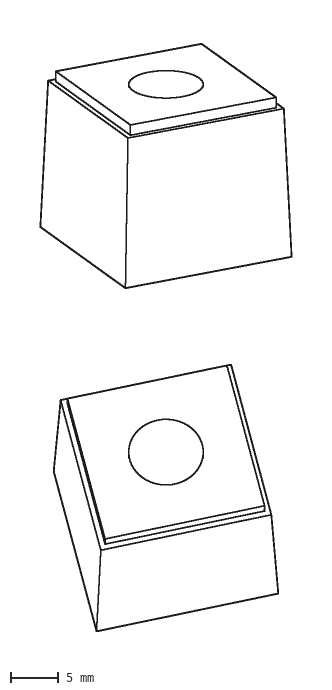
import cadquery as cq

base_width = 19.51
total_height = 17.7

body_top_width = 18.3
pad_width = 17.11
pad_height = 1.15
body_height = total_height - pad_height

hole_diameter = 7.78


def tapered_body():
    """Square frustum standing on the XY plane."""
    return (
        cq.Workplane("XY")
        .rect(base_width, base_width)
        .workplane(offset=body_height)
        .rect(body_top_width, body_top_width)
        .loft(ruled=True)
    )


def top_pad():
    """Straight-sided square step on top of the body."""
    return (
        cq.Workplane("XY")
        .workplane(offset=body_height)
        .rect(pad_width, pad_width)
        .extrude(pad_height)
    )


def center_hole():
    """Cylinder through the full height."""
    return cq.Workplane("XY").circle(hole_diameter / 2).extrude(total_height)


result = tapered_body().union(top_pad()).cut(center_hole())